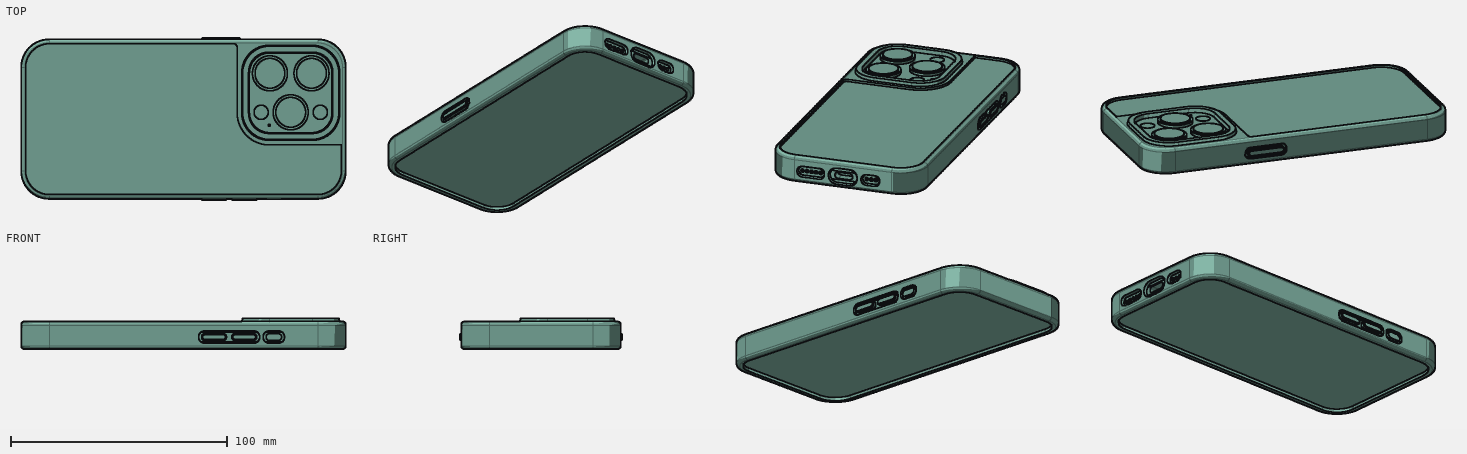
import cadquery as cq
import math

case_length = 150.0
case_width = 73.8
case_height = 12.8
case_corner_radius = 13.0
top_fillet = 1.7
bottom_fillet = 1.5
wall = 1.4

panel_depth = 1.0
panel_inset = 2.1
panel_tip_radius = 1.7

camera_x = 49.5
camera_y = 12.2
window_length = 38.1
window_width = 36.8
window_corner_radius = 9.2
ring_width = 3.6
ring_top = 14.3
ring_draft = 0.5
ring_to_panel = 2.1

phone_bottom = 1.7
phone_height = 7.8
phone_edge_radius = 1.8
phone_length = case_length - 2 * wall
phone_width = case_width - 2 * wall
phone_corner_radius = case_corner_radius - wall
side_z = phone_bottom + phone_height / 2
deck_top = 12.3

lens_radius = 8.1
lens_height = 1.4
glass_radius = 6.9
glass_height = 0.6
lens_half_spacing = 9.6
lens_row_offset = 9.0
flash_radius = 3.3
flash_depth = 0.08
flash_half_spacing = 13.7
deck_mic_radius = 0.5
deck_mic_depth = 0.8
deck_mic_x = 39.6
deck_mic_y = -2.9

port_length = 8.7
port_height = 3.0
port_depth = 4.5
port_window_length = 13.2
port_window_height = 7.0
speaker_y = 15.8
speaker_count = 5
speaker_window_length = 12.6
end_mic_y = -13.5
end_mic_count = 3
end_mic_window_length = 8.3
grille_window_height = 4.4
grille_pitch = 2.3
grille_radius = 0.8
grille_depth = 1.5
window_flare = 0.5

button_height = 3.2
button_projection = 0.6
button_chamfer = 0.5
volume_length = 11.5
volume_xs = (14.1, 28.0)
power_length = 17.9
power_x = 17.3
mute_length = 7.2
mute_x = 41.7
mute_projection = 0.2
button_margin = 1.4
button_window_height = 5.7


def taper_angle(offset, height):
    """Draft angle that moves a wall inwards by offset over the given height."""
    return math.degrees(math.atan2(offset, height))


def rounded_block(length, width, radius, bottom, height, taper=0):
    """Upright block with rounded corners; a positive taper narrows it upwards."""
    outline = cq.Sketch().rect(length, width).vertices().fillet(radius)
    return cq.Workplane("XY", origin=(0, 0, bottom)).placeSketch(outline).extrude(height, taper=taper)


def camera_block(margin, bottom, height, taper=0):
    """Block over the camera area, its outline grown by margin from the camera window."""
    block = rounded_block(
        window_length + 2 * margin,
        window_width + 2 * margin,
        window_corner_radius + margin,
        bottom,
        height,
        taper,
    )
    return block.translate((camera_x, camera_y, 0))


def side_pill(side, x, length, height, reach):
    """Pill along X on the phone's +Y (side 1) or -Y (side -1) face, standing outwards by reach."""
    origin = (x, side * phone_width / 2, side_z)
    plane = cq.Plane(origin=origin, xDir=(1, 0, 0), normal=(0, side, 0))
    return cq.Workplane(plane).slot2D(length, height).extrude(reach)


def end_plane(y):
    """Plane on the phone's -X end face, its normal pointing out of the phone."""
    return cq.Plane(origin=(-phone_length / 2, y, side_z), xDir=(0, 1, 0), normal=(-1, 0, 0))


def end_window(y, length, height):
    """Pill opening through the -X wall of the case, flared towards the outside."""
    flare = taper_angle(window_flare, wall)
    return cq.Workplane(end_plane(y)).slot2D(length, height).extrude(wall, taper=-flare)


def grille_holes(y, count):
    """Row of round blind holes in the phone's -X end."""
    row = cq.Workplane(end_plane(y)).rarray(grille_pitch, 1.5, count, 1)
    return row.circle(grille_radius).extrude(-grille_depth)


def phone_envelope():
    """Outer shape of the phone: slab with rounded edges plus the raised camera deck."""
    slab = rounded_block(phone_length, phone_width, phone_corner_radius, phone_bottom, phone_height)
    slab = slab.faces("<Z or >Z").edges().fillet(phone_edge_radius)
    return slab.union(camera_block(0, side_z, deck_top - side_z))


def button_windows():
    """Pill openings around the volume pair, the mute switch and the power button."""
    volume_middle = sum(volume_xs) / len(volume_xs)
    volume_span = volume_xs[-1] - volume_xs[0] + volume_length
    openings = (
        (-1, volume_middle, volume_span),
        (-1, mute_x, mute_length),
        (1, power_x, power_length),
    )
    for side, x, length in openings:
        yield side_pill(side, x, length + 2 * button_margin, button_window_height, wall)


def panel_recess():
    """Shallow pocket of the back panel, leaving the camera corner at full height."""
    floor = case_height - panel_depth
    margin = ring_width + ring_to_panel
    corner_left = camera_x - window_length / 2 - margin
    corner_bottom = camera_y - window_width / 2 - margin
    camera_corner = (
        cq.Workplane("XY", origin=(corner_left, corner_bottom, floor))
        .rect(case_length, case_length, centered=False)
        .extrude(panel_depth)
        .edges("|Z and <X and <Y")
        .fillet(window_corner_radius + margin)
    )
    recess = rounded_block(
        case_length - 2 * panel_inset,
        case_width - 2 * panel_inset,
        case_corner_radius - panel_inset,
        floor,
        panel_depth,
    ).cut(camera_corner)
    tip_point = (corner_left, case_width / 2 - panel_inset, floor + panel_depth / 2)
    tip_edge = cq.selectors.NearestToPointSelector(tip_point)
    return recess.edges("|Z").edges(tip_edge).fillet(panel_tip_radius)


def build_case():
    """Shell around the phone, with the camera ring and every opening."""
    case = rounded_block(case_length, case_width, case_corner_radius, 0, case_height)
    case = case.faces(">Z").edges().fillet(top_fillet)
    case = case.faces("<Z").edges().fillet(bottom_fillet)
    case = case.cut(panel_recess())

    ring_height = ring_top - case_height
    ring = camera_block(ring_width, case_height, ring_height, taper_angle(ring_draft, ring_height))
    window_depth = ring_top - deck_top
    window = camera_block(0, deck_top, window_depth, -taper_angle(ring_draft, window_depth))
    case = case.union(ring).cut(window).cut(phone_envelope())

    screen_opening = rounded_block(
        phone_length - 2 * phone_edge_radius,
        phone_width - 2 * phone_edge_radius,
        phone_corner_radius - phone_edge_radius,
        0,
        phone_bottom,
    )
    case = case.cut(screen_opening)
    for opening in button_windows():
        case = case.cut(opening)
    case = case.cut(end_window(0, port_window_length, port_window_height))
    case = case.cut(end_window(speaker_y, speaker_window_length, grille_window_height))
    return case.cut(end_window(end_mic_y, end_mic_window_length, grille_window_height))


def build_phone():
    """Phone with its camera details, end openings and mute switch."""
    phone = phone_envelope()
    lens_centres = (
        (camera_x - lens_half_spacing, camera_y + lens_row_offset),
        (camera_x + lens_half_spacing, camera_y + lens_row_offset),
        (camera_x, camera_y - lens_row_offset),
    )
    deck = cq.Workplane("XY", origin=(0, 0, deck_top))
    lenses = deck.pushPoints(lens_centres).circle(lens_radius).extrude(lens_height)
    glasses = deck.pushPoints(lens_centres).circle(glass_radius).extrude(lens_height + glass_height)
    phone = phone.union(lenses).union(glasses)

    flash_centres = [
        (camera_x + direction * flash_half_spacing, camera_y - lens_row_offset) for direction in (-1, 1)
    ]
    phone = phone.cut(deck.pushPoints(flash_centres).circle(flash_radius).extrude(-flash_depth))
    phone = phone.cut(deck.center(deck_mic_x, deck_mic_y).circle(deck_mic_radius).extrude(-deck_mic_depth))

    phone = phone.cut(cq.Workplane(end_plane(0)).slot2D(port_length, port_height).extrude(-port_depth))
    phone = phone.cut(grille_holes(speaker_y, speaker_count))
    phone = phone.cut(grille_holes(end_mic_y, end_mic_count))
    return phone.union(side_pill(-1, mute_x, mute_length, button_height, wall + mute_projection))


def build_button(side, x, length):
    """Pill-shaped button resting on the phone's side, its outer rim chamfered."""
    button = side_pill(side, x, length, button_height, wall + button_projection)
    outer_face = ">Y" if side > 0 else "<Y"
    return button.faces(outer_face).edges().chamfer(button_chamfer)


case = build_case()
phone = build_phone()
volume_buttons = [build_button(-1, x, volume_length) for x in volume_xs]
power_button = build_button(1, power_x, power_length)

result = cq.Compound.makeCompound(
    [case.val(), phone.val(), *[button.val() for button in volume_buttons], power_button.val()]
)